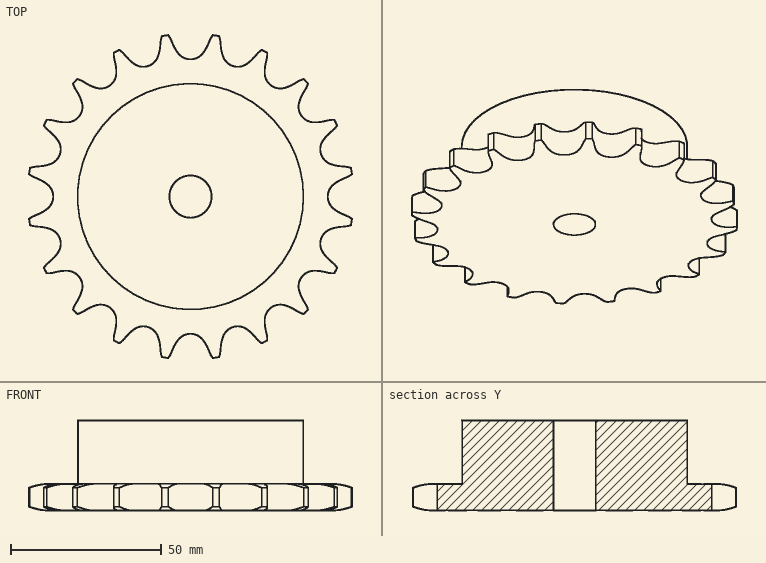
import cadquery as cq
import math

tooth_count = 20
overall_width = 107.4
overall_height = 30.0
plate_thickness = 8.9
hub_diameter = 75.0
bore_diameter = 14.0
chain_pitch = 15.9
roller_diameter = 10.2
seat_radius = 5.2
flat_face_radius = 47.2
side_relief = 1.3
cutter_overrun = 2.1

half_tooth_angle = math.pi / tooth_count
pitch_radius = chain_pitch / (2 * math.sin(half_tooth_angle))
seat_angle = math.radians(35 + 60 / tooth_count)
working_angle = math.radians(18 - 56 / tooth_count)
topping_angle = math.radians(17 - 64 / tooth_count)
working_offset = 0.8 * roller_diameter
topping_offset = 1.4 * roller_diameter
working_radius = seat_radius + working_offset
flat_length = topping_offset * math.sin(topping_angle) - working_offset * math.sin(working_angle)
topping_radius = (
    working_offset * math.cos(working_angle)
    + topping_offset * math.cos(topping_angle)
    - working_radius
)

topping_center_x = topping_offset * math.cos(half_tooth_angle)
topping_center_y = pitch_radius - topping_offset * math.sin(half_tooth_angle)
tip_y = overall_width / 2
tip_x = topping_center_x - math.sqrt(topping_radius**2 - (tip_y - topping_center_y) ** 2)
outer_radius = math.hypot(tip_x, tip_y)


def point_on_circle(center_x, center_y, radius, angle):
    return (center_x + radius * math.cos(angle), center_y + radius * math.sin(angle))


def mirrored(point):
    return (-point[0], point[1])


def make_plate():
    """Round plate whose two faces curve in towards the rim."""
    relief_depth = outer_radius - flat_face_radius
    relief_radius = (relief_depth**2 + side_relief**2) / (2 * side_relief)
    middle_radius = flat_face_radius + relief_depth / 2
    middle_drop = relief_radius - math.sqrt(relief_radius**2 - (relief_depth / 2) ** 2)
    return (
        cq.Workplane("XZ")
        .lineTo(flat_face_radius, 0)
        .threePointArc((middle_radius, middle_drop), (outer_radius, side_relief))
        .lineTo(outer_radius, plate_thickness - side_relief)
        .threePointArc((middle_radius, plate_thickness - middle_drop), (flat_face_radius, plate_thickness))
        .lineTo(0, plate_thickness)
        .close()
        .revolve(360, (0, 0), (0, 1))
    )


def make_gap_cutter():
    """Space between two teeth, centred on +Y: seat, working curve, flat and topping curve."""
    working_center = (
        -working_offset * math.cos(seat_angle),
        pitch_radius + working_offset * math.sin(seat_angle),
    )
    flat_angle = working_angle - seat_angle
    seat_end = point_on_circle(0, pitch_radius, seat_radius, -seat_angle)
    working_middle = point_on_circle(*working_center, working_radius, working_angle / 2 - seat_angle)
    working_end = point_on_circle(*working_center, working_radius, flat_angle)
    flat_end = point_on_circle(*working_end, flat_length, flat_angle + math.pi / 2)
    tip = (tip_x, tip_y)
    tip_angle = math.atan2(tip_y - topping_center_y, tip_x - topping_center_x)
    topping_middle = point_on_circle(
        topping_center_x, topping_center_y, topping_radius, (tip_angle + flat_angle + math.pi) / 2
    )
    outside = (tip_x, outer_radius + cutter_overrun)
    return (
        cq.Workplane("XY")
        .moveTo(*mirrored(seat_end))
        .threePointArc((0, pitch_radius - seat_radius), seat_end)
        .threePointArc(working_middle, working_end)
        .lineTo(*flat_end)
        .threePointArc(topping_middle, tip)
        .lineTo(*outside)
        .lineTo(*mirrored(outside))
        .lineTo(*mirrored(tip))
        .threePointArc(mirrored(topping_middle), mirrored(flat_end))
        .lineTo(*mirrored(working_end))
        .threePointArc(mirrored(working_middle), mirrored(seat_end))
        .close()
        .extrude(plate_thickness)
    )


sprocket = make_plate()
gap_cutter = make_gap_cutter()
for gap in range(tooth_count):
    sprocket = sprocket.cut(gap_cutter.rotate((0, 0, 0), (0, 0, 1), gap * 360 / tooth_count))

hub = cq.Workplane("XY").circle(hub_diameter / 2).extrude(overall_height)
sprocket = sprocket.union(hub)

bore = cq.Workplane("XY").circle(bore_diameter / 2).extrude(overall_height)
result = sprocket.cut(bore)